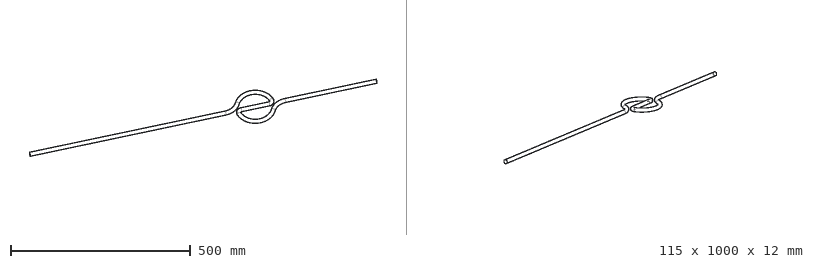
import cadquery as cq
import math

rod_diameter = 12.0
loop_width = 115.0
long_end = 650.0
short_end = 350.0
shoulder_radius = 46.0
hook_radius = 10.0

loop_radius = (loop_width - rod_diameter) / 2

shoulder_y = math.sqrt((loop_radius + shoulder_radius) ** 2 - shoulder_radius**2)
hook_y = math.sqrt((loop_radius - hook_radius) ** 2 - hook_radius**2)


def point_on_arc(center, radius, angle):
    """Point at the given angle (radians) on a circle."""
    return (center[0] + radius * math.cos(angle), center[1] + radius * math.sin(angle))


def opposite(point):
    """Point turned half a revolution about the loop centre."""
    return (-point[0], -point[1])


shoulder_center = (-shoulder_radius, -shoulder_y)
shoulder_angle = math.atan2(shoulder_y, shoulder_radius)
shoulder_start = (0, -shoulder_y)
shoulder_mid = point_on_arc(shoulder_center, shoulder_radius, shoulder_angle / 2)
loop_start = point_on_arc(shoulder_center, shoulder_radius, shoulder_angle)
loop_mid = (-loop_radius, 0)

hook_center = (-hook_radius, hook_y)
hook_angle = math.atan2(hook_y, -hook_radius)
loop_end = point_on_arc(hook_center, hook_radius, hook_angle)
hook_mid = point_on_arc(hook_center, hook_radius, hook_angle / 2)
hook_end = (0, hook_y)

centerline = (
    cq.Workplane("XY")
    .moveTo(0, -long_end)
    .lineTo(*shoulder_start)
    .threePointArc(shoulder_mid, loop_start)
    .threePointArc(loop_mid, loop_end)
    .threePointArc(hook_mid, hook_end)
    .lineTo(*opposite(hook_end))
    .threePointArc(opposite(hook_mid), opposite(loop_end))
    .threePointArc(opposite(loop_mid), opposite(loop_start))
    .threePointArc(opposite(shoulder_mid), opposite(shoulder_start))
    .lineTo(0, short_end)
)

result = (
    cq.Workplane("XZ", origin=(0, -long_end, 0))
    .circle(rod_diameter / 2)
    .sweep(centerline)
)